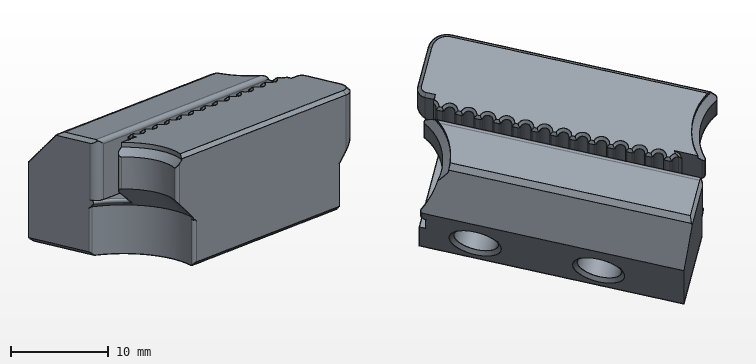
import cadquery as cq
import math

WIDTH = 18.65
LENGTH = 31.0
HEIGHT = 12.5
BEVEL = 0.4

LEDGE_Z = 5.0
REAR_WALL_Y = 27.9

JAW_RIGHT = 9.0
SLOPE_START_Z = 8.5
SLOPE_RUN = 3.7
JAW_TOP_LEFT = 4.4
JAW_TOP_FILLET = 0.5
JAW_CORNER_RADIUS = 1.0

GROOVE_Z = 6.0
GROOVE_LIP_FILLET = 0.25

TOOTH_TIP_X = 10.0
RAIL_LEFT = 11.14
RAIL_INNER_RADIUS = 1.0
RAIL_OUTER_RADIUS = 2.0
TEETH_END_Y = 29.0
SCALLOP_RADIUS = 0.55
SCALLOP_X = 10.11
SCALLOP_PITCH = 2.0
SCALLOP_START_Y = 3.15
SCALLOP_COUNT = 14
TOOTH_BEVEL = 0.3
TOOTH_FILLET = 0.2
TEETH_FRONT_BEVEL = 0.5

RELIEF_RADIUS = 5.5
RELIEF_MOUTH_RADIUS = 6.3
RELIEF_BASE_RADIUS = 8.0
REAR_BASE_RADIUS = 6.1
REAR_BASE_TOP_Z = 7.0
MOUTH_Z = 12.0
CONE_TOP_Z = 7.75
REAR_AXIS = (3.8, 32.0)
FRONT_AXIS = (15.2, -3.6)
TIP_FILLET = 0.3
REAR_TIP_FILLET = 0.18

HOLE_DIAMETER = 4.7
HOLE_MOUTH_DIAMETER = 5.5
HOLE_DEPTH = 8.0
HOLE_Z = 4.0
HOLE_YS = (9.0, 22.0)

MOUTH_CONE_Z = MOUTH_Z - (RELIEF_MOUTH_RADIUS - RELIEF_RADIUS)
FRONT_CONE_Z = CONE_TOP_Z - (RELIEF_BASE_RADIUS - RELIEF_RADIUS)


def box(x0, x1, y0, y1, z0, z1):
    """Box given by its limits along each axis."""
    return cq.Workplane("XY").box(x1 - x0, y1 - y0, z1 - z0, centered=False).translate((x0, y0, z0))


def turned(profile, axis):
    """Revolve a closed (radius, height) wire about a vertical axis at (x, y)."""
    solid = profile.close().revolve(360, (0, 0, 0), (0, 1, 0))
    return solid.translate((axis[0], axis[1], 0))


def side_profile():
    """Length-wise silhouette with the sloped underside at the rear."""
    overhang = LENGTH - REAR_WALL_Y
    outline = [
        (BEVEL, 0),
        (REAR_WALL_Y, 0),
        (REAR_WALL_Y, LEDGE_Z),
        (LENGTH, LEDGE_Z + overhang),
        (LENGTH, HEIGHT),
        (BEVEL, HEIGHT),
        (0, HEIGHT - BEVEL),
        (0, BEVEL),
    ]
    return cq.Workplane("YZ").polyline(outline).close().extrude(WIDTH)


def jaw_and_base():
    """Base with the sloped jaw standing on its left side."""
    arc_offset = JAW_TOP_FILLET * (1 - math.sqrt(0.5))
    profile = (
        cq.Workplane("XZ")
        .moveTo(BEVEL, 0)
        .lineTo(WIDTH - BEVEL, 0)
        .lineTo(WIDTH, BEVEL)
        .lineTo(WIDTH, GROOVE_Z)
        .lineTo(JAW_RIGHT, GROOVE_Z)
        .lineTo(JAW_RIGHT, HEIGHT - JAW_TOP_FILLET)
        .threePointArc(
            (JAW_RIGHT - arc_offset, HEIGHT - arc_offset),
            (JAW_RIGHT - JAW_TOP_FILLET, HEIGHT),
        )
        .lineTo(JAW_TOP_LEFT, HEIGHT)
        .lineTo(SLOPE_RUN, SLOPE_START_Z + SLOPE_RUN)
        .lineTo(0, SLOPE_START_Z)
        .lineTo(0, BEVEL)
        .close()
    )
    body = profile.extrude(-LENGTH).intersect(side_profile())

    radius = JAW_CORNER_RADIUS
    corner = box(JAW_RIGHT - radius, JAW_RIGHT, 0, radius, GROOVE_Z, HEIGHT)
    rounding = (
        cq.Workplane("XY", origin=(JAW_RIGHT - radius, radius, GROOVE_Z))
        .circle(radius)
        .extrude(HEIGHT - GROOVE_Z)
    )
    body = body.cut(corner.cut(rounding))

    body = body.cut(rear_relief())
    jaw_tips = cq.selectors.BoxSelector(
        (-BEVEL, REAR_WALL_Y, CONE_TOP_Z - BEVEL), (JAW_RIGHT + BEVEL, LENGTH, MOUTH_CONE_Z)
    )
    body = body.edges(jaw_tips).edges("|Z").fillet(REAR_TIP_FILLET)

    body = body.cut(front_rail_relief()).cut(front_groove_relief())
    base_tips = cq.selectors.BoxSelector(
        (RELIEF_RADIUS, -BEVEL, BEVEL), (WIDTH + BEVEL, RELIEF_RADIUS, FRONT_CONE_Z)
    )
    return body.edges(base_tips).edges("|Z").fillet(TIP_FILLET)


def rail():
    """Upper rail with rounded rear corners and a chamfered top."""
    body = box(RAIL_LEFT, WIDTH, 0, LENGTH, LEDGE_Z, HEIGHT)
    body = body.edges("|Z and >Y and <X").fillet(RAIL_INNER_RADIUS)
    body = body.edges("|Z and >Y and >X").fillet(RAIL_OUTER_RADIUS)
    body = body.faces(">Z").edges("not <Y").chamfer(BEVEL)
    square_edge = box(RAIL_LEFT, RAIL_LEFT + BEVEL, 0, TEETH_END_Y, GROOVE_Z, HEIGHT)
    body = body.union(square_edge).cut(front_rail_relief()).intersect(side_profile())
    tips = cq.selectors.BoxSelector(
        (RAIL_LEFT - BEVEL, 0, CONE_TOP_Z), (WIDTH + BEVEL, RELIEF_RADIUS, MOUTH_CONE_Z)
    )
    return body.edges(tips).edges("|Z").fillet(TIP_FILLET)


def teeth():
    """Strip along the rail whose left edge is scalloped into teeth."""
    strip = box(TOOTH_TIP_X, RAIL_LEFT, 0, TEETH_END_Y, GROOVE_Z, HEIGHT)
    deepest = SCALLOP_X + SCALLOP_RADIUS
    strip = strip.cut(box(TOOTH_TIP_X, deepest, 0, SCALLOP_START_Y, GROOVE_Z, HEIGHT))
    centers = [(SCALLOP_X, SCALLOP_START_Y + i * SCALLOP_PITCH) for i in range(SCALLOP_COUNT)]
    for center in centers:
        strip = strip.cut(cq.Workplane("XY").center(*center).circle(SCALLOP_RADIUS).extrude(HEIGHT))
    strip = strip.edges("|Z and <X").fillet(TOOTH_FILLET)

    section = [
        (TOOTH_TIP_X, HEIGHT - TOOTH_BEVEL),
        (TOOTH_TIP_X + TOOTH_BEVEL, HEIGHT),
        (TOOTH_TIP_X, HEIGHT),
    ]
    strip = strip.cut(cq.Workplane("XZ").polyline(section).close().extrude(-LENGTH))
    for center in centers:
        mouth = (
            cq.Workplane("XZ")
            .moveTo(0, HEIGHT - TOOTH_BEVEL)
            .lineTo(SCALLOP_RADIUS, HEIGHT - TOOTH_BEVEL)
            .lineTo(SCALLOP_RADIUS + TOOTH_BEVEL, HEIGHT)
            .lineTo(0, HEIGHT)
        )
        strip = strip.cut(turned(mouth, center))
    return strip.cut(front_groove_relief())


def rear_relief():
    """Stepped round recess at the rear of the jaw, open upward from the ledge."""
    profile = (
        cq.Workplane("XZ")
        .moveTo(0, LEDGE_Z)
        .lineTo(REAR_BASE_RADIUS, LEDGE_Z)
        .lineTo(REAR_BASE_RADIUS, REAR_BASE_TOP_Z)
        .lineTo(RELIEF_RADIUS, CONE_TOP_Z)
        .lineTo(RELIEF_RADIUS, MOUTH_CONE_Z)
        .lineTo(RELIEF_MOUTH_RADIUS, MOUTH_Z)
        .lineTo(RELIEF_MOUTH_RADIUS, HEIGHT)
        .lineTo(0, HEIGHT)
    )
    return turned(profile, REAR_AXIS).intersect(box(-WIDTH, RAIL_LEFT, 0, 2 * LENGTH, 0, HEIGHT))


def front_rail_relief():
    """Stepped round recess in the front end of the rail."""
    profile = (
        cq.Workplane("XZ")
        .lineTo(RELIEF_BASE_RADIUS, 0)
        .lineTo(RELIEF_BASE_RADIUS, FRONT_CONE_Z)
        .lineTo(RELIEF_RADIUS, CONE_TOP_Z)
        .lineTo(RELIEF_RADIUS, MOUTH_CONE_Z)
        .lineTo(RELIEF_MOUTH_RADIUS, MOUTH_Z)
        .lineTo(RELIEF_MOUTH_RADIUS, HEIGHT)
        .lineTo(0, HEIGHT)
    )
    return turned(profile, FRONT_AXIS).intersect(box(RAIL_LEFT, WIDTH, -LENGTH, LENGTH, 0, HEIGHT))


def lip_arc():
    """Three (radius, height) points of the arc rounding the groove floor into the cone."""
    cone_at_floor = RELIEF_BASE_RADIUS - (GROOVE_Z - FRONT_CONE_Z)
    tangent = GROOVE_LIP_FILLET / math.tan(math.pi / 8)
    drop = tangent * math.sqrt(0.5)
    center = (cone_at_floor + tangent, GROOVE_Z - GROOVE_LIP_FILLET)
    start = (cone_at_floor + drop, GROOVE_Z - drop)
    middle = (center[0] - GROOVE_LIP_FILLET, center[1])
    return start, middle, (center[0], GROOVE_Z)


def front_groove_relief():
    """Round recess at the front of the groove, below and in front of the teeth."""
    start, middle, end = lip_arc()
    profile = (
        cq.Workplane("XZ")
        .lineTo(RELIEF_BASE_RADIUS, 0)
        .lineTo(RELIEF_BASE_RADIUS, FRONT_CONE_Z)
        .lineTo(*start)
        .threePointArc(middle, end)
        .lineTo(end[0], HEIGHT - TEETH_FRONT_BEVEL)
        .lineTo(end[0] + TEETH_FRONT_BEVEL, HEIGHT)
        .lineTo(0, HEIGHT)
    )
    groove_part = box(JAW_RIGHT, RAIL_LEFT, -LENGTH, LENGTH, 0, HEIGHT)
    below_floor = box(0, RAIL_LEFT, -LENGTH, LENGTH, 0, GROOVE_Z)
    return turned(profile, FRONT_AXIS).intersect(groove_part.union(below_floor))


def hole(y):
    """Blind hole entering the left face, with a chamfered mouth."""
    radius = HOLE_DIAMETER / 2
    mouth_radius = HOLE_MOUTH_DIAMETER / 2
    profile = [
        (0, HOLE_Z),
        (0, HOLE_Z + mouth_radius),
        (mouth_radius - radius, HOLE_Z + radius),
        (HOLE_DEPTH, HOLE_Z + radius),
        (HOLE_DEPTH, HOLE_Z),
    ]
    half = cq.Workplane("XZ", origin=(0, y, 0)).polyline(profile).close()
    return half.revolve(360, (0, HOLE_Z, 0), (1, HOLE_Z, 0))


result = jaw_and_base().union(rail()).union(teeth())
for hole_y in HOLE_YS:
    result = result.cut(hole(hole_y))